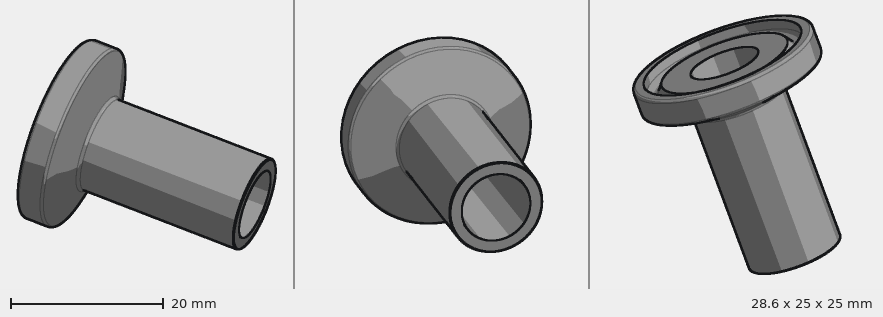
import cadquery as cq
import math

length = 28.57
flange_radius = 25.0 / 2
tube_radius = 12.7 / 2
bore_radius = 9.4 / 2

rim_width = 3.69
cone_angle = 20.0
rim_fillet = 0.4
neck_fillet = 0.49
tube_end_chamfer = 0.1

central_face_depth = 0.8
groove_outer_radius = 21.88 / 2
groove_inner_radius = 8.77
groove_fillet = 0.8
groove_wall_angle = 36.0


def revolve_about_x(profile):
    return profile.close().revolve(360, (0, 0, 0), (1, 0, 0))


def circle_edges(body, radius, x):
    """Select the circular edge of the given radius lying at the given X."""
    margin = 0.03
    reach = radius + margin
    corner_near = (x - margin, -reach, -reach)
    corner_far = (x + margin, reach, reach)
    return body.edges(cq.selectors.BoxSelector(corner_near, corner_far, boundingbox=True))


def make_body():
    """Flange, cone and tube as one turned solid with rounded corners."""
    cone_length = (flange_radius - tube_radius) * math.tan(math.radians(cone_angle))
    neck_x = rim_width + cone_length
    body = revolve_about_x(
        cq.Workplane("XY")
        .lineTo(0, flange_radius)
        .lineTo(rim_width, flange_radius)
        .lineTo(neck_x, tube_radius)
        .lineTo(length, tube_radius)
        .lineTo(length, 0)
    )
    body = circle_edges(body, tube_radius, neck_x).fillet(neck_fillet)
    body = circle_edges(body, flange_radius, rim_width).fillet(rim_fillet)
    body = body.faces("<X").edges().fillet(rim_fillet)
    return body.faces(">X").edges().chamfer(tube_end_chamfer)


def make_face_recess():
    """Shallow central recess with a groove around it: straight outer wall, sloping inner wall."""
    angle = math.radians(groove_wall_angle)
    arc_radius = groove_outer_radius - groove_fillet
    tangent_radius = arc_radius - groove_fillet * math.cos(angle)
    tangent_depth = central_face_depth + (tangent_radius - groove_inner_radius) / math.tan(angle)
    arc_depth = tangent_depth - groove_fillet * math.sin(angle)
    return revolve_about_x(
        cq.Workplane("XY")
        .lineTo(central_face_depth, 0)
        .lineTo(central_face_depth, groove_inner_radius)
        .lineTo(tangent_depth, tangent_radius)
        .threePointArc((arc_depth + groove_fillet, arc_radius), (arc_depth, groove_outer_radius))
        .lineTo(0, groove_outer_radius)
    )


bore = cq.Workplane("YZ").circle(bore_radius).extrude(length)

result = make_body().cut(make_face_recess()).cut(bore)